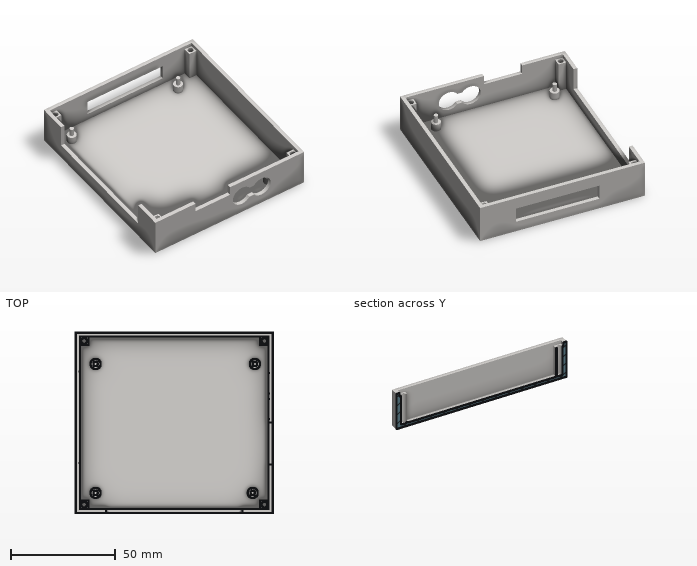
import cadquery as cq

length = 94.0
width = 86.0
height = 20.0
wall = 2.0
floor = 2.0

post_size = 4.0
post_drop = 2.0
post_top = height - post_drop
post_hole_diameter = 2.8

base_diameter = 4.8
base_height = 4.0
pin_diameter = 2.2
pin_height = 4.0
standoff_places = [(9.5, 9.6), (84.4, 9.6), (9.5, 71.1), (85.4, 71.1)]

front_notch_length = 65.0
front_notch_bottom = 8.0

side_notch_start = 23.1
side_notch_length = 20.0
side_notch_depth = 5.0

window_start = 23.8
window_length = 43.6
window_bottom = 5.7
window_height = 8.0

port_diameter = 10.5
port_spacing = 11.3
port_center_y = 55.7
port_center_z = 10.6
bridge_height = 6.0


def box(x, y, z, size_x, size_y, size_z):
    """Box with its lower corner at (x, y, z)."""
    return cq.Workplane("XY").box(size_x, size_y, size_z, centered=False).translate((x, y, z))


def cylinder(x, y, z, diameter, rise):
    """Upright cylinder standing on (x, y, z)."""
    return cq.Workplane("XY").circle(diameter / 2).extrude(rise).translate((x, y, z))


cavity = box(wall, wall, floor, length - 2 * wall, width - 2 * wall, height - floor)
result = box(0, 0, 0, length, width, height).cut(cavity)

for post_x in (wall, length - wall - post_size):
    for post_y in (wall, width - wall - post_size):
        post = box(post_x, post_y, 0, post_size, post_size, post_top)
        hole = cylinder(
            post_x + post_size / 2, post_y + post_size / 2, floor, post_hole_diameter, post_top - floor
        )
        result = result.union(post).cut(hole)

for x, y in standoff_places:
    base = cylinder(x, y, 0, base_diameter, floor + base_height)
    pin = cylinder(x, y, 0, pin_diameter, floor + base_height + pin_height)
    result = result.union(base).union(pin)

front_notch = box(
    (length - front_notch_length) / 2, 0, front_notch_bottom,
    front_notch_length, wall, height - front_notch_bottom,
)
side_notch = box(
    length - wall, side_notch_start, height - side_notch_depth,
    wall, side_notch_length, side_notch_depth,
)
window = box(0, window_start, window_bottom, wall, window_length, window_height)
result = result.cut(front_notch).cut(side_notch).cut(window)

ports = (
    cq.Workplane("YZ", origin=(length - wall, port_center_y, port_center_z))
    .pushPoints([(-port_spacing / 2, 0), (port_spacing / 2, 0)])
    .circle(port_diameter / 2)
    .extrude(wall)
)
bridge = box(
    length - wall, port_center_y - port_spacing / 2, port_center_z - bridge_height / 2,
    wall, port_spacing, bridge_height,
)
result = result.cut(ports).cut(bridge)